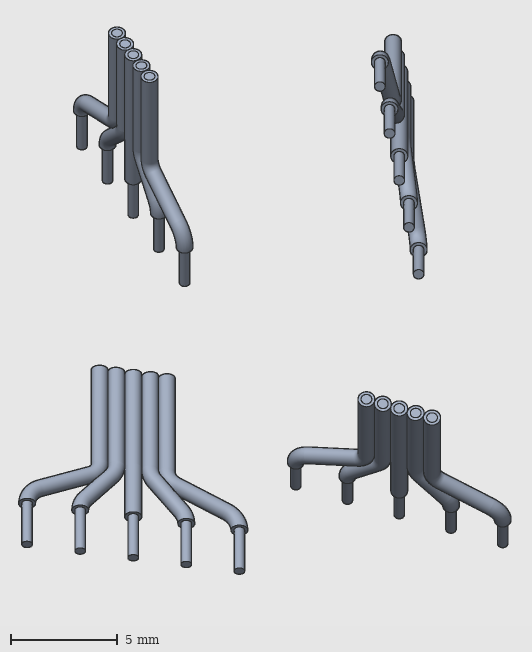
import cadquery as cq
import math

insulation_diameter = 0.8
conductor_diameter = 0.5

overall_width = 10.96
outer_bottom_x = (overall_width - insulation_diameter) / 2
inner_bottom_x = outer_bottom_x / 2
outer_top_x = 1.61
inner_top_x = outer_top_x / 2

insulation_bottom = 2.39
run_bottom = 5.21
run_length = 5.49
bend_height = run_bottom - insulation_bottom

lower_bend_radius = 1.1
outer_upper_radius = 0.75
inner_upper_radius = 1.0

inner_end_tilt = 3


def straight_rod(diameter, x, bottom, length, tilt=0):
    """Vertical rod with parallel ends, their normals leaning from +Z towards +X by the tilt in radians."""
    end_normal = cq.Vector(math.sin(tilt), 0, math.cos(tilt))
    section = cq.Wire.makeCircle(diameter / 2, cq.Vector(x, 0, bottom), end_normal)
    return cq.Solid.extrudeLinear(section, [], cq.Vector(0, 0, length))


def s_bend_rod(diameter, bottom_x, top_x, lower_radius, upper_radius, end_tilt):
    """Arc off the vertical towards +X, sloping straight, then arc back to within end_tilt of vertical."""
    lower_centre_x = bottom_x + lower_radius
    upper_centre_x = top_x - upper_radius * math.cos(end_tilt)
    upper_centre_z = run_bottom + upper_radius * math.sin(end_tilt)

    centre_dx = upper_centre_x - lower_centre_x
    centre_dz = upper_centre_z - insulation_bottom
    radius_sum = lower_radius + upper_radius
    tangent_length = math.sqrt(centre_dx**2 + centre_dz**2 - radius_sum**2)
    lean = math.atan2(centre_dx, centre_dz) + math.atan2(radius_sum, tangent_length)

    def on_lower_bend(angle):
        x = lower_centre_x - lower_radius * math.cos(angle)
        return x, insulation_bottom + lower_radius * math.sin(angle)

    def on_upper_bend(angle):
        x = upper_centre_x + upper_radius * math.cos(angle)
        return x, upper_centre_z - upper_radius * math.sin(angle)

    axis = (
        cq.Workplane("XZ")
        .moveTo(bottom_x, insulation_bottom)
        .threePointArc(on_lower_bend(lean / 2), on_lower_bend(lean))
        .lineTo(*on_upper_bend(lean))
        .threePointArc(on_upper_bend((lean + end_tilt) / 2), on_upper_bend(end_tilt))
    )
    section = cq.Workplane("XY", origin=(bottom_x, 0, insulation_bottom)).circle(diameter / 2)
    return section.sweep(axis).val()


def bent_rod(diameter, bottom_x, top_x, lower_radius, upper_radius, end_tilt_degrees):
    """Solid rod along a left-hand wire, from the end of the insulation to the top."""
    end_tilt = math.radians(end_tilt_degrees)
    bend = s_bend_rod(diameter, bottom_x, top_x, lower_radius, upper_radius, end_tilt)
    run = straight_rod(diameter, top_x, run_bottom, run_length, end_tilt)
    return bend.fuse(run)


def middle_rod(diameter):
    """Solid rod along the middle wire, from the end of the insulation to the top."""
    lower = straight_rod(diameter, 0, insulation_bottom, bend_height)
    run = straight_rod(diameter, 0, run_bottom, run_length)
    return lower.fuse(run)


def make_conductor(core, bottom_x):
    """Conductor filling the insulation and standing bare below it."""
    return core.fuse(straight_rod(conductor_diameter, bottom_x, 0, insulation_bottom))


outer_route = (-outer_bottom_x, -outer_top_x, lower_bend_radius, outer_upper_radius, 0)
inner_route = (-inner_bottom_x, -inner_top_x, lower_bend_radius, inner_upper_radius, inner_end_tilt)

outer_core = bent_rod(conductor_diameter, *outer_route)
inner_core = bent_rod(conductor_diameter, *inner_route)
middle_core = middle_rod(conductor_diameter)

outer_sleeve = bent_rod(insulation_diameter, *outer_route)
inner_sleeve = bent_rod(insulation_diameter, *inner_route)
middle_sleeve = middle_rod(insulation_diameter)

outer_insulation = outer_sleeve.cut(outer_core).cut(inner_sleeve)
inner_insulation = inner_sleeve.cut(inner_core).cut(outer_core)
middle_insulation = middle_sleeve.cut(middle_core)

outer_conductor = make_conductor(outer_core, -outer_bottom_x)
inner_conductor = make_conductor(inner_core, -inner_bottom_x)
middle_conductor = make_conductor(middle_core, 0)

solids = [*middle_insulation.Solids(), *middle_conductor.Solids()]
for body in (outer_insulation, outer_conductor, inner_insulation, inner_conductor):
    solids += body.Solids()
    solids += body.mirror("YZ").Solids()

result = cq.Compound.makeCompound(solids)